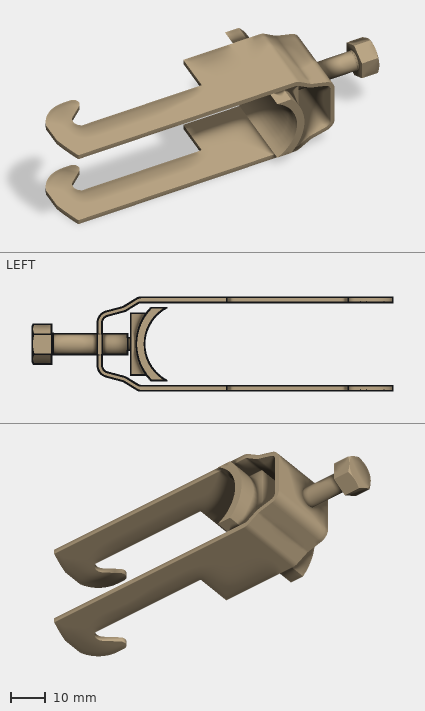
import cadquery as cq
import math


overall_length = 103.9
clip_half_height = 13.5
clip_back_y = 85.1
clip_left_x = -8.9
clip_right_x = 13.9
bend_thickness = 1.4
leg_thickness = 1.6
back_half_height = 8.7
shoulder_y = 77.6
shoulder_angle = 15.0
leg_start_y = 73.1
corner_radius = 3.4
shoulder_radius = 2.0
leg_bend_radius = 2.9

step_y = 47.8
shank_left_x = 3.0
hook_left_x = -8.0
hook_tip_y = 12.9
hook_tip_radius = 1.9
throat_x = 0.5
throat_y = 7.7
throat_radius = 2.7
throat_line_angle = 48.0
nose_top_y = 8.6
flat_left_x = -1.5
flat_right_x = 5.4
heel_middle = (9.8, 1.2)
heel_y = 2.7

head_height = 5.6
head_flats = 10.0
head_chamfer_angle = 30.0
screw_diameter = 6.0
neck_diameter = 6.2
neck_length = 0.5
screw_end_y = 76.4
tip_diameter = 3.6

saddle_half_length = 16.99
saddle_half_height = 10.5
saddle_outer_y = 73.9
saddle_outer_edge_y = 69.6
saddle_inner_y = 71.5
saddle_inner_edge_y = 65.1
block_back_y = 75.5
block_half_length = 9.7
block_half_height = 8.9


def rounded_outline(points, radii):
    """YZ wire through the points, each corner rounded by its radius (0 stays sharp)."""
    corners = [cq.Vector(*point) for point in points]
    starts_and_ends = []
    for index, corner in enumerate(corners):
        before = (corners[index - 1] - corner).normalized()
        after = (corners[(index + 1) % len(corners)] - corner).normalized()
        half_angle = before.getAngle(after) / 2
        radius = radii[index]
        setback = radius / math.tan(half_angle)
        bisector = (before + after).normalized()
        middle = corner + bisector * (radius / math.sin(half_angle) - radius)
        starts_and_ends.append((corner + before * setback, middle, corner + after * setback))
    outline = cq.Workplane("YZ").moveTo(*starts_and_ends[0][2].toTuple()[:2])
    for radius, (start, middle, end) in zip(radii[1:] + radii[:1], starts_and_ends[1:] + starts_and_ends[:1]):
        outline = outline.lineTo(*start.toTuple()[:2])
        if radius > 0:
            outline = outline.threePointArc(middle.toTuple()[:2], end.toTuple()[:2])
    return outline.close()


def offset_corner(angle_before, angle_after, offset_before, offset_after):
    """Shift of a corner when its two lines move inward (downward) by the given offsets."""
    a, b = math.radians(angle_before), math.radians(angle_after)
    turn = math.sin(a - b)
    shift_y = (offset_before * math.cos(b) - offset_after * math.cos(a)) / turn
    shift_z = (offset_before * math.sin(b) - offset_after * math.sin(a)) / turn
    return shift_y, shift_z


def make_strip():
    """The bent strip at full width: an outer envelope minus an inner one."""
    shoulder_half_height = back_half_height + (clip_back_y - shoulder_y) * math.tan(
        math.radians(shoulder_angle)
    )
    flare_angle = math.degrees(
        math.atan2(clip_half_height - shoulder_half_height, shoulder_y - leg_start_y)
    )
    upper_outer = [
        (clip_back_y, back_half_height),
        (shoulder_y, shoulder_half_height),
        (leg_start_y, clip_half_height),
        (0, clip_half_height),
    ]
    outer_radii = [corner_radius, shoulder_radius, leg_bend_radius, 0]

    line_angles = [90.0, shoulder_angle, flare_angle, 0.0]
    offsets = [bend_thickness, bend_thickness, bend_thickness, leg_thickness]
    upper_inner = []
    for index in range(3):
        shift_y, shift_z = offset_corner(
            line_angles[index], line_angles[index + 1], offsets[index], offsets[index + 1]
        )
        corner_y, corner_z = upper_outer[index]
        upper_inner.append((corner_y - shift_y, corner_z + shift_z))
    upper_inner.append((0, clip_half_height - leg_thickness))
    inner_radii = [
        corner_radius - bend_thickness,
        shoulder_radius + bend_thickness,
        leg_bend_radius - bend_thickness,
        0,
    ]

    width = clip_right_x - clip_left_x
    envelopes = []
    for upper, radii in ((upper_outer, outer_radii), (upper_inner, inner_radii)):
        lower = [(y, -z) for y, z in reversed(upper)]
        outline = rounded_outline(upper + lower, radii + radii[::-1])
        envelopes.append(outline.extrude(width).translate((clip_left_x, 0, 0)))
    return envelopes[0].cut(envelopes[1])


def make_plan():
    """Plan shape of the clip: wide at the back, narrow legs ending in hooks."""
    slope = math.radians(throat_line_angle)
    tip_x = hook_left_x + hook_tip_radius
    tip_center_y = hook_tip_y - hook_tip_radius
    tip_end = (tip_x + hook_tip_radius * math.sin(slope), tip_center_y + hook_tip_radius * math.cos(slope))
    throat_center_y = throat_y + throat_radius
    throat_end_y = throat_center_y - math.sqrt(throat_radius**2 - (shank_left_x - throat_x) ** 2)
    throat_start = (
        throat_x - throat_radius * math.sin(slope),
        throat_center_y - throat_radius * math.cos(slope),
    )
    return (
        cq.Workplane("XY", origin=(0, 0, -clip_half_height))
        .moveTo(clip_left_x, clip_back_y)
        .lineTo(clip_left_x, step_y)
        .lineTo(shank_left_x, step_y)
        .lineTo(shank_left_x, throat_end_y)
        .threePointArc((throat_x, throat_y), throat_start)
        .lineTo(*tip_end)
        .threePointArc((tip_x, hook_tip_y), (hook_left_x, tip_center_y))
        .lineTo(hook_left_x, nose_top_y)
        .tangentArcPoint((flat_left_x, 0), relative=False)
        .lineTo(flat_right_x, 0)
        .threePointArc(heel_middle, (clip_right_x, heel_y))
        .lineTo(clip_right_x, clip_back_y)
        .close()
        .extrude(2 * clip_half_height)
    )


def rod(diameter, start_y, end_y):
    """Round rod on the Y axis."""
    return (
        cq.Workplane("XZ", origin=(0, end_y, 0))
        .circle(diameter / 2)
        .extrude(end_y - start_y)
    )


def make_clip():
    screw_hole = rod(screw_diameter, screw_end_y, overall_length)
    return make_strip().intersect(make_plan()).cut(screw_hole)


def make_screw():
    head_base_y = overall_length - head_height
    corner_diameter = head_flats / math.cos(math.pi / 6)
    head = (
        cq.Workplane("XZ", origin=(0, overall_length, 0))
        .transformed(rotate=(0, 0, 90))
        .polygon(6, corner_diameter)
        .extrude(head_height)
    )

    corner_radius_outside = corner_diameter / 2
    trim_depth = (corner_radius_outside - head_flats / 2) * math.tan(math.radians(head_chamfer_angle))
    cone = (
        cq.Workplane("XY")
        .moveTo(0, head_base_y)
        .lineTo(corner_radius_outside, head_base_y)
        .lineTo(corner_radius_outside, overall_length - trim_depth)
        .lineTo(head_flats / 2, overall_length)
        .lineTo(0, overall_length)
        .close()
        .revolve(360, (0, 0, 0), (0, 1, 0))
    )
    neck_end_y = head_base_y - neck_length
    neck = rod(neck_diameter, neck_end_y, head_base_y)
    shank = rod(screw_diameter, screw_end_y, neck_end_y)
    tip = rod(tip_diameter, block_back_y, screw_end_y)
    return head.intersect(cone).union(neck).union(shank).union(tip)


def make_saddle():
    pad = (
        cq.Workplane("YZ")
        .moveTo(saddle_inner_edge_y, -saddle_half_height)
        .lineTo(saddle_outer_edge_y, -saddle_half_height)
        .threePointArc((saddle_outer_y, 0), (saddle_outer_edge_y, saddle_half_height))
        .lineTo(saddle_inner_edge_y, saddle_half_height)
        .threePointArc((saddle_inner_y, 0), (saddle_inner_edge_y, -saddle_half_height))
        .close()
        .extrude(saddle_half_length, both=True)
    )

    sagitta = saddle_outer_y - saddle_outer_edge_y
    outer_radius = (saddle_half_height**2 + sagitta**2) / (2 * sagitta)
    arc_center_y = saddle_outer_y - outer_radius
    block_edge_y = arc_center_y + math.sqrt(outer_radius**2 - block_half_height**2)
    block = (
        cq.Workplane("YZ")
        .moveTo(block_back_y, -block_half_height)
        .lineTo(block_edge_y, -block_half_height)
        .threePointArc((saddle_outer_y, 0), (block_edge_y, block_half_height))
        .lineTo(block_back_y, block_half_height)
        .close()
        .extrude(block_half_length, both=True)
    )
    return pad.union(block)


clip = make_clip()
screw = make_screw()
saddle = make_saddle()

result = cq.Compound.makeCompound([clip.val(), screw.val(), saddle.val()])